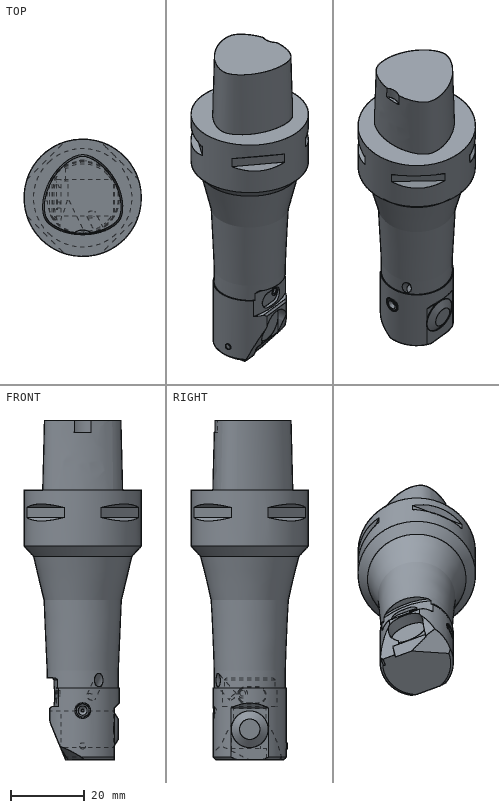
import cadquery as cq
import math

SHANK_LENGTH = 19.0
FLANGE_BOTTOM = -15.3
FLANGE_CHAMFER_BOTTOM = -18.0
NECK_CONE_BOTTOM = -30.0
NECK_BOTTOM = -49.2
HEAD_TOP = -53.8
HEAD_BOTTOM = -73.4
OVERALL_LENGTH = 92.5
TIP_BOTTOM = SHANK_LENGTH - OVERALL_LENGTH

FLANGE_R = 32.0 / 2
FLANGE_FOOT_R = 13.4
NECK_TOP_R = 10.5
COLLAR_R = 19.4 / 2
HEAD_R = 10.0
HEAD_CHAMFER = 0.7
REACH = 27.75

LOBE_MEAN_R = 10.9
LOBE_RISE = 0.8
LOBE_COUNT = 3
TAPER_PER_SIDE = 1 / 40
CORNER_HALF_ANGLE = 25
KEYWAY_R = 3.9
KEYWAY_DEPTH = 0.8
KEYWAY_HEIGHT = 3.2

GRIP_COUNT = 4
GRIP_FLOOR_R = 14.2
GRIP_TOP = -4.8
GRIP_BOTTOM = -7.4
GRIP_SIDE_ANGLE = 30

POCKET_TOP = -51.15
POCKET_BOTTOM = -58.9
POCKET_FLOOR_X = -7.9
POCKET_FLOOR_R = 23.1
POCKET_BEVEL_HEIGHT = 0.6
POCKET_BEVEL_RUN = 0.4
SLOT_LENGTH = 8.0
SLOT_WIDTH = 4.8
SLOT_Y = 0.65
SLOT_Z = -55.9
SLOT_FLOOR_X = -7.1
SLOT_TAPER = 25
DIAL_SCREW_Y = -1.9
DIAL_SCREW_Z = -55.3
DIAL_SCREW_D = 2.6
DIAL_SOCKET_D = 1.6
DIAL_RIM_DEPTH = 0.3
DIAL_SOCKET_DEPTH = 0.9

FRONT_FLAT_X = -9.0
FRONT_FLAT_CHAMFER = 0.6
SLANT_TOP = -63.1
SLANT_ANGLE = 22.5
BACK_FLAT_X = 8.6
BACK_FLAT_TOP = -59.4

PIN_D = 10.0
PIN_Z = -65.1
PIN_FRONT_X = -5.9
PIN_SHOULDER_X = 8.3
PIN_NOSE_X = 9.7
PIN_NOSE_D = 5.55

RECESS_Y_MIN = -4.9
RECESS_Y_MAX = 2.9
RECESS_BOTTOM = -70.4
RELIEF_Y_MAX = 4.6
RELIEF_ANGLE = 32

CLEARANCE_POINT = (-4.4, 0.7, HEAD_BOTTOM)
CLEARANCE_NORMAL = (-0.51, -0.25, -0.82)

LOCK_Z = -60.0
LOCK_D = 4.3
LOCK_FACE_Y = -9.6
LOCK_RIM_D = 3.5
LOCK_SOCKET_D = 2.6
LOCK_TIP_D = 0.7
LOCK_DEPTH = 0.9
COOLANT_ANGLE = -63
COOLANT_Z = -51.7
COOLANT_D = 2.6
COOLANT_DEPTH = 4.6

TIP_X = -3.7
TIP_WIDTH = 1.7
TIP_Y = 8.3
TIP_THICKNESS = 0.6
TIP_HEIGHT = 1.85
TIP_BUTTON_D = 1.7
TIP_BUTTON_Y = 10.3
TIP_BUTTON_Z = -69.65


def box(x_min, x_max, y_min, y_max, z_min, z_max):
    size = (x_max - x_min, y_max - y_min, z_max - z_min)
    return cq.Workplane("XY").box(*size, centered=False).translate((x_min, y_min, z_min))


def rod(diameter, start, direction, length):
    return cq.Workplane(cq.Solid.makeCylinder(diameter / 2, length, cq.Vector(*start), cq.Vector(*direction)))


def cone(start_d, end_d, start, direction, length):
    tapered = cq.Solid.makeCone(start_d / 2, end_d / 2, length, cq.Vector(*start), cq.Vector(*direction))
    return cq.Workplane(tapered)


def lobe_point(angle, mean_r, z):
    """Point of the lobed outline whose outward normal points at `angle`."""
    turn = LOBE_COUNT * (angle - math.pi / 2)
    support = mean_r + LOBE_RISE * math.cos(turn)
    slope = -LOBE_COUNT * LOBE_RISE * math.sin(turn)
    x = support * math.cos(angle) - slope * math.sin(angle)
    y = support * math.sin(angle) + slope * math.cos(angle)
    return cq.Vector(x, y, z)


def lobe_outline(mean_r, z):
    """Closed outline of alternating lobes and flanks."""
    steps = 12
    pitch = 360 / LOBE_COUNT
    edges = []
    for lobe in range(LOBE_COUNT):
        centre = 90 + lobe * pitch
        lobe_start = centre - CORNER_HALF_ANGLE
        lobe_end = centre + CORNER_HALF_ANGLE
        next_start = lobe_start + pitch
        for start, end in ((lobe_start, lobe_end), (lobe_end, next_start)):
            angles = [math.radians(start + (end - start) * i / steps) for i in range(steps + 1)]
            edges.append(cq.Edge.makeSpline([lobe_point(a, mean_r, z) for a in angles]))
    return cq.Wire.assembleEdges(edges)


def make_shank():
    top_mean_r = LOBE_MEAN_R - TAPER_PER_SIDE * SHANK_LENGTH
    outlines = [lobe_outline(LOBE_MEAN_R, 0), lobe_outline(top_mean_r, SHANK_LENGTH)]
    shank = cq.Workplane(cq.Solid.makeLoft(outlines, True))
    keyway_y = -(top_mean_r - LOBE_RISE - KEYWAY_DEPTH + KEYWAY_R)
    keyway_floor = SHANK_LENGTH - KEYWAY_HEIGHT
    return shank.cut(rod(2 * KEYWAY_R, (0, keyway_y, keyway_floor), (0, 0, 1), KEYWAY_HEIGHT))


def make_turned_body():
    outline = [
        (0, 0),
        (FLANGE_R, 0),
        (FLANGE_R, FLANGE_BOTTOM),
        (FLANGE_FOOT_R, FLANGE_CHAMFER_BOTTOM),
        (NECK_TOP_R, NECK_CONE_BOTTOM),
        (COLLAR_R, NECK_BOTTOM),
        (COLLAR_R, HEAD_TOP),
        (HEAD_R, HEAD_TOP),
        (HEAD_R, HEAD_BOTTOM + HEAD_CHAMFER),
        (HEAD_R - HEAD_CHAMFER, HEAD_BOTTOM),
        (0, HEAD_BOTTOM),
    ]
    return cq.Workplane("XZ").polyline(outline).close().revolve(360, (0, 0), (0, 1))


def cut_gripper_slots(body):
    spread = (REACH - GRIP_FLOOR_R) * math.tan(math.radians(GRIP_SIDE_ANGLE))
    profile = [
        (GRIP_FLOOR_R, GRIP_TOP),
        (REACH, GRIP_TOP + spread),
        (REACH, GRIP_BOTTOM - spread),
        (GRIP_FLOOR_R, GRIP_BOTTOM),
    ]
    slot = cq.Workplane("XZ").polyline(profile).close().extrude(REACH, both=True)
    pitch = 360 / GRIP_COUNT
    for i in range(GRIP_COUNT):
        body = body.cut(slot.rotate((0, 0, 0), (0, 0, 1), (i + 0.5) * pitch))
    return body


def cut_scale_pocket(body):
    """Pocket with a curved floor, an oblong recess in it and a small dial screw socket."""
    pocket = box(-REACH, 0, -REACH, REACH, POCKET_BOTTOM, POCKET_TOP)
    floor_axis = (POCKET_FLOOR_X + POCKET_FLOOR_R, 0, POCKET_BOTTOM)
    floor = rod(2 * POCKET_FLOOR_R, floor_axis, (0, 0, 1), POCKET_TOP - POCKET_BOTTOM)
    bevel = cone(
        2 * POCKET_FLOOR_R,
        2 * (POCKET_FLOOR_R + POCKET_BEVEL_RUN),
        (floor_axis[0], 0, POCKET_TOP - POCKET_BEVEL_HEIGHT),
        (0, 0, 1),
        POCKET_BEVEL_HEIGHT,
    )
    body = body.cut(pocket.cut(floor).cut(bevel))

    oblong = (
        cq.Workplane("YZ", origin=(POCKET_FLOOR_X, SLOT_Y, SLOT_Z))
        .slot2D(SLOT_LENGTH, SLOT_WIDTH)
        .extrude(SLOT_FLOOR_X - POCKET_FLOOR_X, taper=SLOT_TAPER)
    )
    socket_start = (SLOT_FLOOR_X, DIAL_SCREW_Y, DIAL_SCREW_Z)
    rim = rod(DIAL_SCREW_D, socket_start, (1, 0, 0), DIAL_RIM_DEPTH)
    socket = rod(DIAL_SOCKET_D, socket_start, (1, 0, 0), DIAL_SOCKET_DEPTH)
    return body.cut(oblong).cut(rim).cut(socket)


def cut_head_flats(body):
    """Stepped and slanted -X side, and the ramped flat on the +X side."""
    slant_run = (SLANT_TOP - TIP_BOTTOM) * math.tan(math.radians(SLANT_ANGLE))
    front = [
        (-REACH, POCKET_BOTTOM),
        (FRONT_FLAT_X + FRONT_FLAT_CHAMFER, POCKET_BOTTOM),
        (FRONT_FLAT_X, POCKET_BOTTOM - FRONT_FLAT_CHAMFER),
        (FRONT_FLAT_X, SLANT_TOP),
        (FRONT_FLAT_X + slant_run, TIP_BOTTOM),
        (-REACH, TIP_BOTTOM),
    ]
    ramp = HEAD_R - BACK_FLAT_X
    back = [
        (BACK_FLAT_X, TIP_BOTTOM),
        (BACK_FLAT_X, BACK_FLAT_TOP),
        (HEAD_R, BACK_FLAT_TOP + ramp),
        (HEAD_R, TIP_BOTTOM),
    ]
    for side in (front, back):
        body = body.cut(cq.Workplane("XZ").polyline(side).close().extrude(REACH, both=True))
    return body


def cut_face_recess(body):
    """Flat recess level with the pin face, and the sloping relief below it."""
    recess = box(-REACH, PIN_FRONT_X, RECESS_Y_MIN, RECESS_Y_MAX, RECESS_BOTTOM, PIN_Z)
    relief_run = (RECESS_BOTTOM - TIP_BOTTOM) * math.tan(math.radians(RELIEF_ANGLE))
    relief_profile = [
        (-REACH, RECESS_BOTTOM),
        (PIN_FRONT_X, RECESS_BOTTOM),
        (PIN_FRONT_X + relief_run, TIP_BOTTOM),
        (-REACH, TIP_BOTTOM),
    ]
    relief = (
        cq.Workplane("XZ", origin=(0, RELIEF_Y_MAX, 0))
        .polyline(relief_profile)
        .close()
        .extrude(RELIEF_Y_MAX - RECESS_Y_MIN)
    )
    return body.cut(recess).cut(relief)


def cut_clearance(body):
    plane = cq.Plane(origin=CLEARANCE_POINT, normal=CLEARANCE_NORMAL)
    return body.cut(cq.Workplane(plane).rect(2 * REACH, 2 * REACH).extrude(REACH))


def cut_lock_screw(body):
    """Sunk screw face: a ring groove round a conical socket."""
    ring = rod(LOCK_D, (0, LOCK_FACE_Y, LOCK_Z), (0, -1, 0), REACH)
    ring = ring.cut(rod(LOCK_RIM_D, (0, LOCK_FACE_Y, LOCK_Z), (0, -1, 0), HEAD_R + LOCK_FACE_Y))
    socket = cone(LOCK_SOCKET_D, LOCK_TIP_D, (0, -HEAD_R, LOCK_Z), (0, 1, 0), LOCK_DEPTH)
    return body.cut(ring).cut(socket)


def cut_coolant_hole(body):
    """Hole that slopes down at 45 degrees toward the axis, entering at the collar."""
    start = (COLLAR_R - COOLANT_DEPTH, 0, COOLANT_Z - COOLANT_DEPTH)
    hole = rod(COOLANT_D, start, (1, 0, 1), 2 * COOLANT_DEPTH)
    return body.cut(hole.rotate((0, 0, 0), (0, 0, 1), COOLANT_ANGLE))


def add_cutting_tip(body):
    half_width = TIP_WIDTH / 2
    half_thickness = TIP_THICKNESS / 2
    y_range = (TIP_Y - half_thickness, TIP_Y + half_thickness)
    tip = box(TIP_X - half_width, TIP_X + half_width, *y_range, TIP_BOTTOM, TIP_BOTTOM + TIP_HEIGHT)
    button = rod(TIP_BUTTON_D, (0, TIP_Y, TIP_BUTTON_Z), (0, 1, 0), TIP_BUTTON_Y - TIP_Y)
    return body.union(tip).union(button)


def make_holder():
    body = make_turned_body().union(make_shank())
    body = cut_gripper_slots(body)
    body = cut_scale_pocket(body)
    body = cut_head_flats(body)
    body = cut_face_recess(body)
    body = cut_clearance(body)
    body = cut_lock_screw(body)
    body = cut_coolant_hole(body)
    body = add_cutting_tip(body)
    pin_bore = rod(PIN_D, (-REACH, 0, PIN_Z), (1, 0, 0), 2 * REACH)
    return body.cut(pin_bore)


def make_cross_pin():
    shaft = rod(PIN_D, (PIN_FRONT_X, 0, PIN_Z), (1, 0, 0), PIN_SHOULDER_X - PIN_FRONT_X)
    nose_start = (PIN_SHOULDER_X, 0, PIN_Z)
    nose = cone(PIN_D, PIN_NOSE_D, nose_start, (1, 0, 0), PIN_NOSE_X - PIN_SHOULDER_X)
    return shaft.union(nose)


holder = make_holder()
cross_pin = make_cross_pin()
result = cq.Compound.makeCompound([holder.solids().val(), cross_pin.solids().val()])